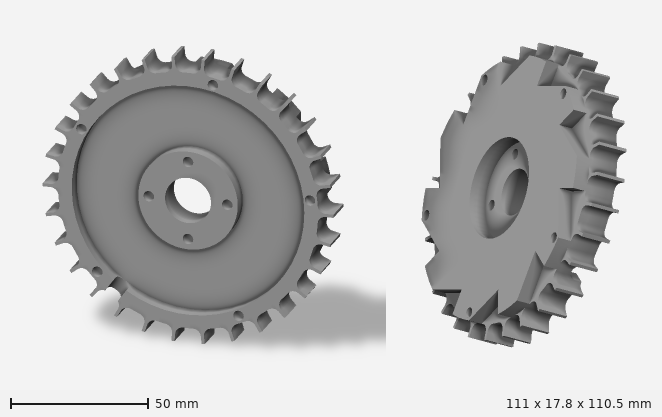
import cadquery as cq
import math


total_thickness = 17.8
ratchet_thickness = 5.7
rim_thickness = total_thickness - ratchet_thickness
pocket_depth = 6.0
front_y = -total_thickness / 2
back_y = total_thickness / 2
ratchet_front_y = back_y - ratchet_thickness

tooth_count = 30
tip_radius = 55.5
root_radius = 49.6
tooth_width = 1.2
tooth_fillet = 3.0
tooth_pitch = 360 / tooth_count

ratchet_count = 10
ratchet_pitch = 360 / ratchet_count
notch_radius = 40.0
notch_angle = 22.0
first_step_angle = 18.9

pocket_radius = 44.4
hub_radius = 19.0
bore_radius = 8.8

recess_radius = hub_radius
recess_depth = 7.0

screw_hole_radius = 2.0
hub_hole_count = 4
hub_hole_circle = 15.0
rim_hole_count = 5
rim_hole_circle = 46.8
rim_hole_first_angle = 6.3

slot_width = 6.0
slot_angle = 234.0
slot_overrun = 1.1


def polar(radius, angle):
    """Point (x, z) at a radius and an angle in degrees about the wheel axis."""
    turn = math.radians(angle)
    return radius * math.cos(turn), radius * math.sin(turn)


def plane_at(y):
    """Sketch plane across the wheel axis; extrusions from it run toward -Y."""
    return cq.Workplane("XZ", origin=(0, y, 0))


def turned(shape, angle):
    """Shape turned about the wheel axis, from +X toward +Z."""
    return shape.rotate((0, 0, 0), (0, -1, 0), angle)


def toothed_rim():
    rim = plane_at(ratchet_front_y).circle(root_radius).extrude(rim_thickness)
    blade_length = tip_radius - pocket_radius
    blade = (
        plane_at(ratchet_front_y)
        .center(tip_radius - blade_length / 2, 0)
        .rect(blade_length, tooth_width)
        .extrude(rim_thickness)
    )
    for tooth in range(tooth_count):
        rim = rim.union(turned(blade, tooth * tooth_pitch))
    middle_radius = (root_radius + tip_radius) / 2
    root_edges = [
        edge
        for edge in rim.edges("|Y").vals()
        if math.hypot(edge.Center().x, edge.Center().z) < middle_radius
    ]
    return rim.newObject(root_edges).fillet(tooth_fillet)


def ratchet_plate():
    """Plate whose outline repeats a radial step, a straight ramp and a round land."""
    outline = plane_at(back_y).moveTo(*polar(root_radius, first_step_angle))
    for step in range(ratchet_count):
        step_angle = first_step_angle + step * ratchet_pitch
        ramp_end = step_angle + notch_angle
        land_end = step_angle + ratchet_pitch
        outline = (
            outline.lineTo(*polar(notch_radius, step_angle))
            .lineTo(*polar(root_radius, ramp_end))
            .threePointArc(
                polar(root_radius, (ramp_end + land_end) / 2),
                polar(root_radius, land_end),
            )
        )
    return outline.close().extrude(ratchet_thickness)


def front_pocket():
    """Ring-shaped recess between the hub and the rim."""
    floor = plane_at(front_y + pocket_depth)
    return floor.circle(pocket_radius).circle(hub_radius).extrude(pocket_depth)


def bore():
    return plane_at(back_y).circle(bore_radius).extrude(total_thickness)


def back_recess():
    return plane_at(back_y).circle(recess_radius).extrude(recess_depth)


def screw_holes(count, circle_radius, first_angle):
    centers = [polar(circle_radius, first_angle + i * 360 / count) for i in range(count)]
    return plane_at(back_y).pushPoints(centers).circle(screw_hole_radius).extrude(total_thickness)


def radial_slot():
    """U-shaped channel open to the front face, from the pocket out through the rim."""
    half_width = slot_width / 2
    start_x = (hub_radius + pocket_radius) / 2
    arc_y = front_y + pocket_depth - half_width
    slot = (
        cq.Workplane("YZ", origin=(start_x, 0, 0))
        .moveTo(front_y, -half_width)
        .lineTo(arc_y, -half_width)
        .threePointArc((front_y + pocket_depth, 0), (arc_y, half_width))
        .lineTo(front_y, half_width)
        .close()
        .extrude(root_radius + slot_overrun - start_x)
    )
    return turned(slot, slot_angle)


result = (
    toothed_rim()
    .union(ratchet_plate())
    .cut(front_pocket())
    .cut(back_recess())
    .cut(bore())
    .cut(screw_holes(hub_hole_count, hub_hole_circle, 0))
    .cut(screw_holes(rim_hole_count, rim_hole_circle, rim_hole_first_angle))
    .cut(radial_slot())
)